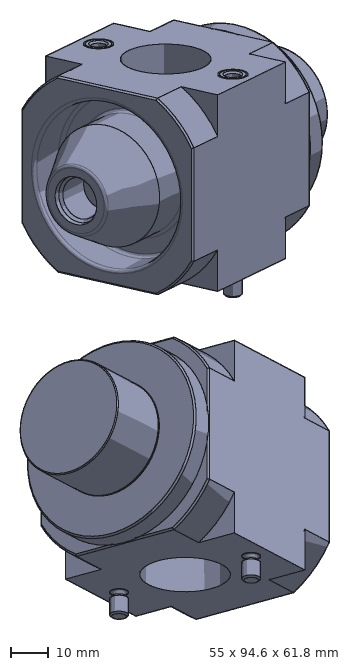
import cadquery as cq
import math


BLOCK_SIZE = 55.0
HALF = BLOCK_SIZE / 2
EDGE_CHAMFER = 0.5
CORNER_DIAMETER = 63.5
FULL_SQUARE_LENGTH = 31.8
CROSS_BORE_DIAMETER = 23.9

FLANGE_DIAMETER = BLOCK_SIZE
FLANGE_THICKNESS = 6.1
SPIGOT_DIAMETER = 32.0
SPIGOT_LENGTH = 19.0
SPIGOT_CHAMFER = 0.3
RELIEF_DIAMETER = 31.7
RELIEF_WIDTH = 0.5

RECESS_DIAMETER = 46.3
RECESS_DEPTH = 12.0
RECESS_FILLET = 1.0

NOSE_BASE_DIAMETER = 33.7
NOSE_TIP_DIAMETER = 19.3
NOSE_LENGTH = 14.5
NOSE_TIP_FILLET = 1.0
PORT_DIAMETER = 11.45
PORT_MOUTH_DIAMETER = 13.3
PORT_SHOULDER_DIAMETER = 13.0
PORT_MOUTH_DEPTH = 1.5
PORT_DEPTH = 12.0

SCREW_SPACING = 43.0
HEAD_HOLE_MOUTH_DIAMETER = 8.0
HEAD_DIAMETER = 7.0
HEAD_LENGTH = 10.0
SOCKET_MOUTH_DIAMETER = 5.2
SOCKET_DIAMETER = 4.13
SOCKET_DEPTH = 3.0
SOCKET_POINT_DEPTH = 1.2
NECK_DIAMETER = 3.7
NECK_LENGTH = 0.3
NECK_FILLET = 1.0
THREAD_DIAMETER = 5.0
SHANK_DIAMETER = THREAD_DIAMETER
THREAD_LENGTH = 5.7
THREAD_CHAMFER = 0.5
SCREW_PROTRUSION = 6.8


def cylinder_y(diameter, start_y, length):
    """Cylinder on the Y axis from start_y towards +Y."""
    return cq.Workplane("XZ", origin=(0, start_y, 0)).circle(diameter / 2).extrude(-length)


def revolve(plane, points):
    """Revolve a closed outline of (radius, height) points about the plane's vertical axis."""
    return cq.Workplane(plane).polyline(points).close().revolve(360, (0, 0), (0, 1))


def make_block():
    """Cube with rounded, chamfered ends and a square-cornered middle."""
    rounded = cq.Workplane().box(BLOCK_SIZE, BLOCK_SIZE, BLOCK_SIZE)
    rounded = rounded.intersect(cylinder_y(CORNER_DIAMETER, -HALF, BLOCK_SIZE))
    rounded = rounded.faces("<Y or >Y").chamfer(EDGE_CHAMFER)
    return rounded.union(cq.Workplane().box(BLOCK_SIZE, FULL_SQUARE_LENGTH, BLOCK_SIZE))


def make_flange_and_spigot():
    """Round flange and spigot with a shallow relief between them."""
    spigot_start = HALF + FLANGE_THICKNESS
    flange = cylinder_y(FLANGE_DIAMETER, HALF, FLANGE_THICKNESS)
    flange = flange.faces(">Y").chamfer(EDGE_CHAMFER)
    relief = cylinder_y(RELIEF_DIAMETER, spigot_start, RELIEF_WIDTH)
    spigot = cylinder_y(SPIGOT_DIAMETER, spigot_start + RELIEF_WIDTH, SPIGOT_LENGTH - RELIEF_WIDTH)
    spigot = spigot.faces(">Y").chamfer(SPIGOT_CHAMFER)
    return flange.union(relief).union(spigot)


def make_recess():
    """Ring-shaped cutter, rounded at its mouth, its floor and the foot of the nose."""
    outer = RECESS_DIAMETER / 2
    inner = NOSE_BASE_DIAMETER / 2
    floor = -HALF + RECESS_DEPTH
    mouth = -HALF
    half_arc = RECESS_FILLET * (1 - math.sqrt(0.5))
    profile = (
        cq.Workplane("XY")
        .moveTo(inner, mouth)
        .lineTo(outer + RECESS_FILLET, mouth)
        .threePointArc((outer + half_arc, mouth + half_arc), (outer, mouth + RECESS_FILLET))
        .lineTo(outer, floor - RECESS_FILLET)
        .threePointArc((outer - half_arc, floor - half_arc), (outer - RECESS_FILLET, floor))
        .lineTo(inner + RECESS_FILLET, floor)
        .threePointArc((inner + half_arc, floor - half_arc), (inner, floor - RECESS_FILLET))
        .close()
    )
    return profile.revolve(360, (0, 0), (0, 1))


def make_nose():
    """Cone with a rounded tip and a blind stepped port."""
    tip = -HALF - NOSE_LENGTH
    cone = revolve("XY", [
        (0, -HALF),
        (NOSE_BASE_DIAMETER / 2, -HALF),
        (NOSE_TIP_DIAMETER / 2, tip),
        (0, tip),
    ])
    cone = cone.faces("<Y").edges().fillet(NOSE_TIP_FILLET)
    shoulder_length = (PORT_SHOULDER_DIAMETER - PORT_DIAMETER) / 2
    shoulder_start = tip + PORT_MOUTH_DEPTH
    port_floor = tip + PORT_DEPTH
    port = revolve("XY", [
        (0, tip),
        (PORT_MOUTH_DIAMETER / 2, tip),
        (PORT_SHOULDER_DIAMETER / 2, shoulder_start),
        (PORT_DIAMETER / 2, shoulder_start + shoulder_length),
        (PORT_DIAMETER / 2, port_floor),
        (0, port_floor),
    ])
    return cone.cut(port)


def make_screw_hole():
    """Through hole with a pocket that narrows slightly from its mouth to the screw head's diameter."""
    seat = HALF - HEAD_LENGTH
    return revolve("XZ", [
        (0, -HALF),
        (SHANK_DIAMETER / 2, -HALF),
        (SHANK_DIAMETER / 2, seat),
        (HEAD_DIAMETER / 2, seat),
        (HEAD_HOLE_MOUTH_DIAMETER / 2, HALF),
        (0, HALF),
    ])


def make_screw():
    """Captive screw on the Z axis, its head resting on the floor of the pocket."""
    seat = HALF - HEAD_LENGTH
    head_radius = HEAD_DIAMETER / 2
    shank_radius = SHANK_DIAMETER / 2
    neck_radius = NECK_DIAMETER / 2
    thread_radius = THREAD_DIAMETER / 2
    socket_radius = SOCKET_DIAMETER / 2
    socket_mouth_radius = SOCKET_MOUTH_DIAMETER / 2
    socket_lead_in = socket_mouth_radius - socket_radius
    socket_floor = HALF - SOCKET_DEPTH
    lead_in = thread_radius - neck_radius
    tip = -HALF - SCREW_PROTRUSION
    thread_top = tip + THREAD_LENGTH
    neck_top = thread_top + NECK_LENGTH
    neck_step = shank_radius - neck_radius
    fillet_height = math.sqrt(NECK_FILLET**2 - (NECK_FILLET - neck_step)**2)
    profile = (
        cq.Workplane("XZ")
        .moveTo(0, tip)
        .lineTo(thread_radius - THREAD_CHAMFER, tip)
        .lineTo(thread_radius, tip + THREAD_CHAMFER)
        .lineTo(thread_radius, thread_top - lead_in)
        .lineTo(neck_radius, thread_top)
        .lineTo(neck_radius, neck_top)
        .tangentArcPoint((shank_radius, neck_top + fillet_height), relative=False)
        .lineTo(shank_radius, seat)
        .lineTo(head_radius, seat)
        .lineTo(head_radius, HALF)
        .lineTo(socket_mouth_radius, HALF)
        .lineTo(socket_radius, HALF - socket_lead_in)
        .lineTo(socket_radius, socket_floor)
        .lineTo(0, socket_floor - SOCKET_POINT_DEPTH)
        .close()
    )
    return profile.revolve(360, (0, 0), (0, 1))


screw_places = [(-SCREW_SPACING / 2, 0, 0), (SCREW_SPACING / 2, 0, 0)]

housing = make_block().union(make_flange_and_spigot()).cut(make_recess()).union(make_nose())
housing = housing.cut(cq.Workplane().circle(CROSS_BORE_DIAMETER / 2).extrude(HALF, both=True))
for place in screw_places:
    housing = housing.cut(make_screw_hole().translate(place))

screws = [make_screw().translate(place).val() for place in screw_places]

result = cq.Compound.makeCompound([housing.val(), *screws])